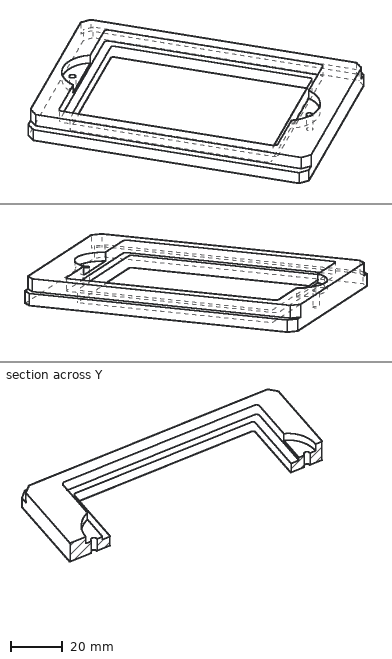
import cadquery as cq

length = 113.6
base_width = 78.7
total_height = 10.0
base_height = 4.9
side_step = 3.1
corner_chamfer = 3.1
deck_width = base_width - 2 * side_step

opening_center_x = -2.0

recess_length = 88.4
recess_width = 62.0
recess_depth = 5.0
recess_corner_radius = 1.5
window_length = 81.3
window_width = 55.9
window_corner_radius = 1.0

relief_radius = 12.3
relief_offset = 39.4
relief_depth = 3.5
hole_diameter = 2.5
hole_offset = 47.9


def chamfered_plate(width, bottom, height):
    """Full-length rectangular plate with cut vertical corners."""
    plate = cq.Workplane("XY", origin=(0, 0, bottom)).rect(length, width).extrude(height)
    return plate.edges("|Z").chamfer(corner_chamfer)


def opening_plane():
    """Top-face workplane centered on the opening."""
    return cq.Workplane("XY", origin=(opening_center_x, 0, total_height))


def rounded_cutter(cut_length, cut_width, radius, depth):
    """Rounded rectangular cutter reaching down from the top face."""
    cutter = opening_plane().rect(cut_length, cut_width).extrude(-depth)
    return cutter.edges("|Z").fillet(radius)


def end_cutter(offset, radius, depth):
    """Pair of round cutters, one toward each end, reaching down from the top face."""
    return opening_plane().pushPoints([(-offset, 0), (offset, 0)]).circle(radius).extrude(-depth)


base = chamfered_plate(base_width, 0, base_height)
deck = chamfered_plate(deck_width, base_height, total_height - base_height)
body = base.union(deck)

recess = rounded_cutter(recess_length, recess_width, recess_corner_radius, recess_depth)
window = rounded_cutter(window_length, window_width, window_corner_radius, total_height)
reliefs = end_cutter(relief_offset, relief_radius, relief_depth)
holes = end_cutter(hole_offset, hole_diameter / 2, total_height)

result = body.cut(recess).cut(window).cut(reliefs).cut(holes)